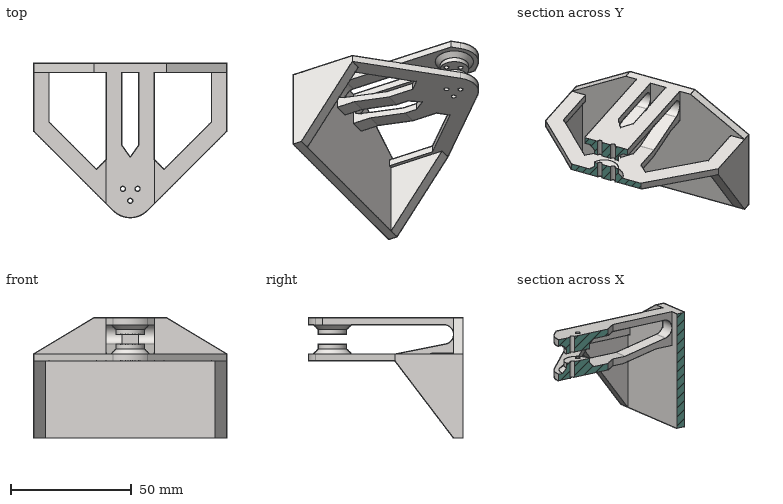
import cadquery as cq
import math

width = 80.0
depth = 64.2
height = 50.0
half_width = width / 2

wall = 4.0
wall_top_width = 30.0
plate_gap = 12.0
lower_z = 32.0
plate = (height - lower_z - plate_gap) / 2
lower_top_z = lower_z + plate
upper_z = height - plate

nose_radius = 10.0
nose_y = -(depth - nose_radius)
flank_sum = -nose_y + nose_radius * math.sqrt(2)
shoulder_y = half_width - flank_sum
arm_width = 2 * nose_radius

rail_width = 6.4
flank_band = 7.2
window_corner_y = -40.0
gusset_width = 5.0

slot_width = 7.0
slot_straight_end = -34.0
slot_tip = -39.0

throat_radius = 4.0
rib_front_y = -27.8
relief_z = 35.3
relief_flat_end = -12.2

hub_diameter = 11.8
hub_step = 2.0
hub_base_diameter = hub_diameter + 2 * hub_step
pin_diameter = 2.0
pin_offsets = [(-3.0, 2.0), (3.0, 2.0), (0, -3.0)]


def block(x_size, y_front, y_rear, z_low, z_high):
    """Box centred on x = 0."""
    return cq.Workplane("XY").box(
        x_size, y_rear - y_front, z_high - z_low, centered=(True, False, False)
    ).translate((0, y_front, z_low))


def outline_plate(z_low):
    tangent = nose_radius / math.sqrt(2)
    return (
        cq.Workplane("XY", origin=(0, 0, z_low))
        .moveTo(-half_width, 0)
        .lineTo(-half_width, shoulder_y)
        .lineTo(-tangent, nose_y - tangent)
        .threePointArc((0, -depth), (tangent, nose_y - tangent))
        .lineTo(half_width, shoulder_y)
        .lineTo(half_width, 0)
        .close()
        .extrude(plate)
    )


def rear_wall():
    return (
        cq.Workplane("XZ")
        .polyline([
            (-half_width, 0),
            (half_width, 0),
            (half_width, lower_top_z),
            (wall_top_width / 2, height),
            (-wall_top_width / 2, height),
            (-half_width, lower_top_z),
        ])
        .close()
        .extrude(wall)
    )


def window(side):
    outer_x = half_width - rail_width
    inner_x = arm_width / 2
    inner_sum = flank_sum - flank_band * math.sqrt(2)
    corner_x = (inner_sum + inner_x + window_corner_y) / 2
    points = [
        (outer_x, -wall),
        (outer_x, outer_x - inner_sum),
        (corner_x, corner_x - inner_sum),
        (inner_x, window_corner_y),
        (inner_x, -wall),
    ]
    return (
        cq.Workplane("XY", origin=(0, 0, lower_z))
        .polyline([(side * x, y) for x, y in points])
        .close()
        .extrude(plate)
    )


def gusset(side):
    x_low = half_width - gusset_width if side > 0 else -half_width
    return (
        cq.Workplane("YZ", origin=(x_low, 0, 0))
        .polyline([(0, 0), (-wall, 0), (shoulder_y, lower_z), (0, lower_z)])
        .close()
        .extrude(gusset_width)
    )


def rib(side):
    """Web on one side of the slot: round throat at the wall, then a sloped strip to the lower plate."""
    centre_y = -wall - throat_radius
    centre_z = upper_z - throat_radius
    arc_mid = throat_radius / math.sqrt(2)
    run = centre_y - rib_front_y
    rise = centre_z - lower_top_z
    ramp = math.atan2(rise, run) - math.asin(throat_radius / math.hypot(run, rise))
    tangent_y = centre_y + throat_radius * math.sin(ramp)
    tangent_z = centre_z - throat_radius * math.cos(ramp)
    relief_front_y = relief_flat_end - (relief_z - lower_z) / math.tan(ramp)
    web_width = (arm_width - slot_width) / 2
    x_low = slot_width / 2 if side > 0 else -arm_width / 2
    sketch_plane = cq.Workplane("YZ", origin=(x_low, 0, 0))
    lower_web = (
        sketch_plane
        .moveTo(-wall, relief_z)
        .lineTo(relief_flat_end, relief_z)
        .lineTo(relief_front_y, lower_z)
        .lineTo(slot_straight_end, lower_z)
        .lineTo(slot_straight_end, lower_top_z)
        .lineTo(rib_front_y, lower_top_z)
        .lineTo(tangent_y, tangent_z)
        .threePointArc(
            (centre_y + arc_mid, centre_z - arc_mid),
            (-wall, centre_z),
        )
        .close()
        .extrude(web_width)
    )
    upper_web = (
        sketch_plane
        .moveTo(-wall, centre_z)
        .threePointArc(
            (centre_y + arc_mid, centre_z + arc_mid),
            (centre_y, upper_z),
        )
        .lineTo(-wall, upper_z)
        .close()
        .extrude(web_width)
    )
    return lower_web, upper_web


def slot():
    half_slot = slot_width / 2
    return (
        cq.Workplane("XY", origin=(0, 0, lower_z))
        .polyline([
            (-half_slot, -wall),
            (-half_slot, slot_straight_end),
            (0, slot_tip),
            (half_slot, slot_straight_end),
            (half_slot, -wall),
        ])
        .close()
        .extrude(height - lower_z)
    )


def hub(base_z, direction):
    """Cone and cylinder rising from base_z, upwards or downwards with direction."""
    cone_end = base_z + direction * hub_step
    hub_end = cone_end + direction * hub_step
    return (
        cq.Workplane("XZ")
        .polyline([
            (0, base_z),
            (hub_base_diameter / 2, base_z),
            (hub_diameter / 2, cone_end),
            (hub_diameter / 2, hub_end),
            (0, hub_end),
        ])
        .close()
        .revolve(360, (0, 0, 0), (0, 1, 0))
        .translate((0, nose_y, 0))
    )


def pin_holes():
    return (
        cq.Workplane("XY", origin=(0, nose_y, lower_z))
        .pushPoints(pin_offsets)
        .circle(pin_diameter / 2)
        .extrude(height - lower_z)
    )


lower_plate = outline_plate(lower_z)
for side in (-1, 1):
    lower_plate = lower_plate.cut(window(side))
lower_plate = lower_plate.cut(block(arm_width, slot_tip, 0, lower_z, lower_top_z))
slot_end = block(arm_width, slot_tip, slot_straight_end, lower_z, lower_top_z)
lower_plate = lower_plate.union(slot_end.cut(slot()))

upper_arm = outline_plate(upper_z).intersect(block(arm_width, -depth, 0, upper_z, height)).cut(slot())

result = rear_wall().union(lower_plate).union(upper_arm)
for side in (-1, 1):
    lower_web, upper_web = rib(side)
    result = result.union(lower_web).union(upper_web).union(gusset(side))
result = result.union(hub(lower_top_z, 1)).union(hub(upper_z, -1))
result = result.cut(pin_holes())